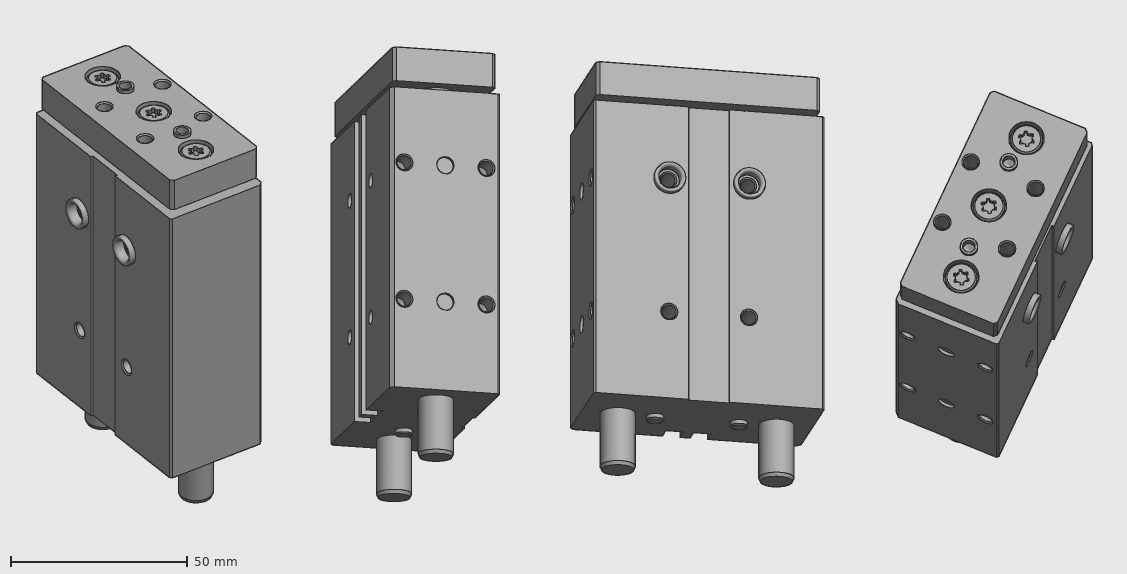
import cadquery as cq
import math

HOUSING_WIDTH = 67.0
HOUSING_DEPTH = 32.1
HOUSING_HEIGHT = 88.0
BACK_CORNER_CHAMFER = 1.2
FRONT_CORNER_CHAMFER = 0.6
FRONT_FACE = -HOUSING_DEPTH / 2
BACK_FACE = HOUSING_DEPTH / 2

FRONT_RELIEF_WIDTH = 11.8
FRONT_RELIEF_DEPTH = 0.7
SENSOR_SLOT_WIDTH = 5.1
SENSOR_SLOT_DEPTH = 4.7
SLOT_RIB_WIDTH = 3.0

LOWER_LEVEL = 26.0
LEVEL_SPACING = 40.0
UPPER_LEVEL = LOWER_LEVEL + LEVEL_SPACING
FRONT_HOLE_X = 11.6
SIDE_HOLE_Y = 12.0

THREAD_CORE_DIAMETER = 4.1
THREAD_MOUTH_DIAMETER = 5.0
MOUTH_CHAMFER = (THREAD_MOUTH_DIAMETER - THREAD_CORE_DIAMETER) / 2
SIDE_HOLE_DEPTH = 7.1
DRILL_POINT_ANGLE = 118.0
SIDE_RECESS_DIAMETER = 5.0
SIDE_RECESS_DEPTH = 1.0

STOP_X = 12.2
STOP_DIAMETER = 5.0
STOP_HEIGHT = 1.5
STOP_CHAMFER = 0.4

PLATE_WIDTH = 65.0
PLATE_DEPTH = 30.1
PLATE_THICKNESS = 9.9
PLATE_GAP = 2.1
PLATE_CORNER_CHAMFER = 1.0
PLATE_BOTTOM = HOUSING_HEIGHT + PLATE_GAP
PLATE_TOP = PLATE_BOTTOM + PLATE_THICKNESS
PLATE_PATTERN_Y = 1.5
PLATE_HOLE_PITCH = 20.1

GUIDE_ROD_X = 23.0
GUIDE_ROD_DIAMETER = 10.0
GUIDE_ROD_OVERHANG = 17.0
GUIDE_ROD_END_INSET = 0.5
GUIDE_ROD_END_LENGTH = 1.1
PISTON_ROD_DIAMETER = 7.5
PISTON_ROD_INSERTION = 70.9
SHANK_DIAMETER = 5.0
HEAD_DIAMETER = 9.0
HEAD_TOP_DIAMETER = 8.0
HEAD_HEIGHT = 3.5
HEAD_BELOW_PLATE_TOP = 0.5
HEAD_RECESS_DIAMETER = 10.0
HEAD_SEAT = PLATE_TOP - HEAD_BELOW_PLATE_TOP - HEAD_HEIGHT
SOCKET_CORE_RADIUS = 1.7
SOCKET_LOBE_RADIUS = 0.5
SOCKET_LOBE_OFFSET = 1.9
SOCKET_DEPTH = 1.4
SOCKET_LOBES = 6

FRONT_SLEEVE_DIAMETER = 9.0
FRONT_SLEEVE_OUTER_ROUNDING = 0.4
FRONT_SLEEVE_INNER_ROUNDING = 1.0
FRONT_SLEEVE_WALL = FRONT_SLEEVE_OUTER_ROUNDING + FRONT_SLEEVE_INNER_ROUNDING
FRONT_SLEEVE_LENGTH = 3.1
FRONT_SLEEVE_PROTRUSION = 1.8
FRONT_SLEEVE_SEAT = FRONT_SLEEVE_LENGTH - FRONT_SLEEVE_PROTRUSION
PLATE_SLEEVE_X = 14.0
PLATE_SLEEVE_DIAMETER = 5.0
PLATE_SLEEVE_BORE = 3.5
PLATE_SLEEVE_LENGTH = 2.4
PLATE_SLEEVE_PROTRUSION = 1.1
PLATE_SLEEVE_SEAT = PLATE_SLEEVE_LENGTH - PLATE_SLEEVE_PROTRUSION


def cylinder(base, direction, diameter, length):
    """Solid cylinder that starts at base and runs along direction."""
    return cq.Workplane(cq.Solid.makeCylinder(diameter / 2, length, cq.Vector(base), cq.Vector(direction)))


def cone(base, direction, base_diameter, end_diameter, length):
    """Solid cone or cone frustum that starts at base and runs along direction."""
    return cq.Workplane(
        cq.Solid.makeCone(base_diameter / 2, end_diameter / 2, length, cq.Vector(base), cq.Vector(direction))
    )


def point_length(diameter):
    """Height of the drill point of a blind hole."""
    return diameter / 2 / math.tan(math.radians(DRILL_POINT_ANGLE / 2))


def blind_hole(mouth, direction, diameter, depth):
    """Cutter for a drilled hole with a conical bottom."""
    bottom = cq.Vector(mouth) + cq.Vector(direction) * depth
    hole = cylinder(mouth, direction, diameter, depth)
    return hole.union(cone(bottom, direction, diameter, 0, point_length(diameter)))


def mouth_chamfer(mouth, direction):
    """Cutter for the chamfered mouth of a threaded hole."""
    return cone(mouth, direction, THREAD_MOUTH_DIAMETER, THREAD_CORE_DIAMETER, MOUTH_CHAMFER)


def make_housing():
    housing = cq.Workplane("XY").box(
        HOUSING_WIDTH, HOUSING_DEPTH, HOUSING_HEIGHT, centered=(True, True, False)
    )
    housing = housing.edges("|Z and >Y").chamfer(BACK_CORNER_CHAMFER)
    housing = housing.edges("|Z and <Y").chamfer(FRONT_CORNER_CHAMFER)

    relief = cq.Workplane("XY").box(
        FRONT_RELIEF_WIDTH, 2 * FRONT_RELIEF_DEPTH, HOUSING_HEIGHT, centered=(True, True, False)
    )
    housing = housing.cut(relief.translate((0, FRONT_FACE, 0)))

    slot = cq.Workplane("XY").box(
        SENSOR_SLOT_WIDTH, 2 * SENSOR_SLOT_DEPTH, HOUSING_HEIGHT, centered=(True, True, False)
    )
    slot_x = (SLOT_RIB_WIDTH + SENSOR_SLOT_WIDTH) / 2
    for side in (-1, 1):
        housing = housing.cut(slot.translate((side * slot_x, BACK_FACE, 0)))

    for x in (-FRONT_HOLE_X, FRONT_HOLE_X):
        for z in (LOWER_LEVEL, UPPER_LEVEL):
            housing = housing.cut(cylinder((x, FRONT_FACE, z), (0, 1, 0), THREAD_CORE_DIAMETER, HOUSING_DEPTH))
        seat_start = (x, FRONT_FACE, UPPER_LEVEL)
        housing = housing.cut(cylinder(seat_start, (0, 1, 0), FRONT_SLEEVE_DIAMETER, FRONT_SLEEVE_SEAT))
        housing = housing.cut(mouth_chamfer((x, FRONT_FACE, LOWER_LEVEL), (0, 1, 0)))
        housing = housing.cut(mouth_chamfer((x, FRONT_FACE + FRONT_SLEEVE_SEAT, UPPER_LEVEL), (0, 1, 0)))

    left_face = -HOUSING_WIDTH / 2
    inward = (1, 0, 0)
    for z in (LOWER_LEVEL, UPPER_LEVEL):
        for y in (-SIDE_HOLE_Y, SIDE_HOLE_Y):
            housing = housing.cut(blind_hole((left_face, y, z), inward, THREAD_CORE_DIAMETER, SIDE_HOLE_DEPTH))
            housing = housing.cut(mouth_chamfer((left_face, y, z), inward))
        housing = housing.cut(cylinder((left_face, 0, z), inward, SIDE_RECESS_DIAMETER, SIDE_RECESS_DEPTH))

    for x in (-GUIDE_ROD_X, GUIDE_ROD_X):
        housing = housing.cut(cylinder((x, 0, 0), (0, 0, 1), GUIDE_ROD_DIAMETER, HOUSING_HEIGHT))
    piston_bore_bottom = (0, PLATE_PATTERN_Y, HOUSING_HEIGHT - PISTON_ROD_INSERTION)
    housing = housing.cut(cylinder(piston_bore_bottom, (0, 0, 1), PISTON_ROD_DIAMETER, PISTON_ROD_INSERTION))

    for x in (-STOP_X, STOP_X):
        stop = cylinder((x, 0, 0), (0, 0, -1), STOP_DIAMETER, STOP_HEIGHT)
        housing = housing.union(stop.faces("<Z").chamfer(STOP_CHAMFER))
    return housing


def make_plate():
    plate = cq.Workplane("XY").box(PLATE_WIDTH, PLATE_DEPTH, PLATE_THICKNESS, centered=(True, True, False))
    plate = plate.edges("|Z").chamfer(PLATE_CORNER_CHAMFER)
    plate = plate.translate((0, 0, PLATE_BOTTOM))
    down = (0, 0, -1)

    for x, y in ((-GUIDE_ROD_X, 0), (0, PLATE_PATTERN_Y), (GUIDE_ROD_X, 0)):
        plate = plate.cut(cylinder((x, y, PLATE_TOP), down, SHANK_DIAMETER, PLATE_THICKNESS))
        plate = plate.cut(cylinder((x, y, PLATE_TOP), down, HEAD_RECESS_DIAMETER, PLATE_TOP - HEAD_SEAT))

    for x in (-PLATE_HOLE_PITCH / 2, PLATE_HOLE_PITCH / 2):
        for y in (PLATE_PATTERN_Y - PLATE_HOLE_PITCH / 2, PLATE_PATTERN_Y + PLATE_HOLE_PITCH / 2):
            plate = plate.cut(cylinder((x, y, PLATE_TOP), down, THREAD_CORE_DIAMETER, PLATE_THICKNESS))
            plate = plate.cut(mouth_chamfer((x, y, PLATE_TOP), down))

    for x in (-PLATE_SLEEVE_X, PLATE_SLEEVE_X):
        mouth = (x, PLATE_PATTERN_Y, PLATE_TOP)
        plate = plate.cut(cylinder(mouth, down, PLATE_SLEEVE_DIAMETER, PLATE_SLEEVE_SEAT))
        plate = plate.cut(blind_hole(mouth, down, PLATE_SLEEVE_BORE, PLATE_SLEEVE_SEAT))
    return plate


def make_head():
    """Shank and socket head on the Z axis, from the plate's bottom to just below its top."""
    shank = cylinder((0, 0, PLATE_BOTTOM), (0, 0, 1), SHANK_DIAMETER, HEAD_SEAT - PLATE_BOTTOM)
    head = shank.union(cylinder((0, 0, HEAD_SEAT), (0, 0, 1), HEAD_DIAMETER, HEAD_HEIGHT))
    head = head.faces(">Z").chamfer((HEAD_DIAMETER - HEAD_TOP_DIAMETER) / 2)
    lobes = cq.Workplane("XY").polarArray(SOCKET_LOBE_OFFSET, 90, 360, SOCKET_LOBES)
    socket = cq.Workplane("XY").circle(SOCKET_CORE_RADIUS).extrude(SOCKET_DEPTH)
    socket = socket.union(lobes.circle(SOCKET_LOBE_RADIUS).extrude(SOCKET_DEPTH))
    return head.cut(socket.translate((0, 0, HEAD_SEAT + HEAD_HEIGHT - SOCKET_DEPTH)))


def make_guide_rod(x):
    length = GUIDE_ROD_OVERHANG + HOUSING_HEIGHT + PLATE_GAP
    rod = cylinder((0, 0, -GUIDE_ROD_OVERHANG), (0, 0, 1), GUIDE_ROD_DIAMETER, length)
    rod = rod.faces("<Z").chamfer(GUIDE_ROD_END_LENGTH, GUIDE_ROD_END_INSET)
    return rod.union(make_head()).translate((x, 0, 0))


def make_piston_rod():
    length = PISTON_ROD_INSERTION + PLATE_GAP
    rod = cylinder((0, 0, PLATE_BOTTOM - length), (0, 0, 1), PISTON_ROD_DIAMETER, length)
    return rod.union(make_head()).translate((0, PLATE_PATTERN_Y, 0))


def make_front_sleeve(x):
    """Sleeve in the front face, its lip rounded from the outside to the bore."""
    outer = FRONT_SLEEVE_DIAMETER / 2
    bore = outer - FRONT_SLEEVE_WALL
    profile = (
        cq.Workplane("XY")
        .moveTo(bore, FRONT_SLEEVE_LENGTH)
        .lineTo(outer, FRONT_SLEEVE_LENGTH)
        .lineTo(outer, FRONT_SLEEVE_OUTER_ROUNDING)
        .radiusArc((outer - FRONT_SLEEVE_OUTER_ROUNDING, 0), FRONT_SLEEVE_OUTER_ROUNDING)
        .radiusArc((bore, FRONT_SLEEVE_INNER_ROUNDING), FRONT_SLEEVE_INNER_ROUNDING)
        .close()
    )
    sleeve = profile.revolve(360, (0, 0, 0), (0, 1, 0))
    return sleeve.translate((x, FRONT_FACE - FRONT_SLEEVE_PROTRUSION, UPPER_LEVEL))


def make_plate_sleeve(x):
    """Sleeve in the plate's top face."""
    top = PLATE_TOP + PLATE_SLEEVE_PROTRUSION
    sleeve = cylinder((0, 0, top), (0, 0, -1), PLATE_SLEEVE_DIAMETER, PLATE_SLEEVE_LENGTH)
    sleeve = sleeve.cut(cylinder((0, 0, top), (0, 0, -1), PLATE_SLEEVE_BORE, PLATE_SLEEVE_LENGTH))
    return sleeve.translate((x, PLATE_PATTERN_Y, 0))


housing = make_housing()
plate = make_plate()
piston_rod = make_piston_rod()
guide_rods = []
front_sleeves = []
plate_sleeves = []
for side in (-1, 1):
    guide_rods.append(make_guide_rod(side * GUIDE_ROD_X).val())
    front_sleeves.append(make_front_sleeve(side * FRONT_HOLE_X).val())
    plate_sleeves.append(make_plate_sleeve(side * PLATE_SLEEVE_X).val())

result = cq.Compound.makeCompound(
    [housing.val(), plate.val(), piston_rod.val(), *guide_rods, *front_sleeves, *plate_sleeves]
)